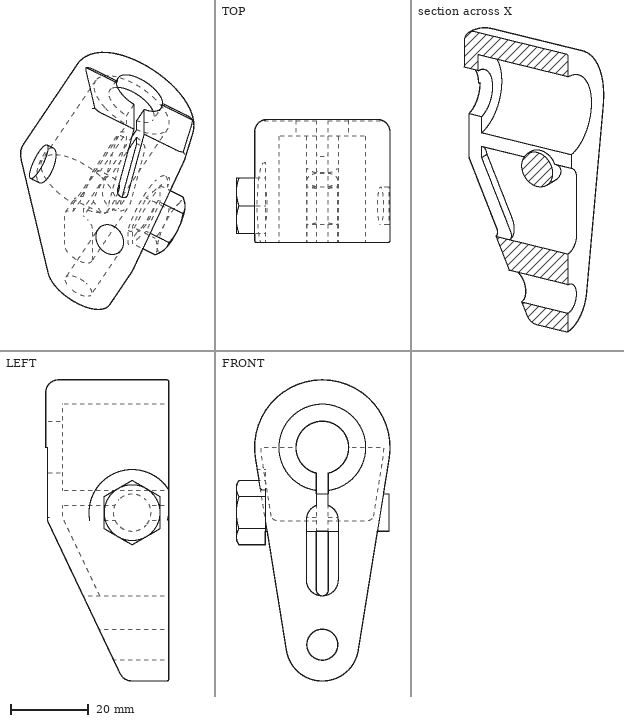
import cadquery as cq
import math

head_radius = 17.5
tip_radius = 9.4
total_height = 77.65
tip_z = head_radius + tip_radius - total_height
head_depth = 31.75
back_relief = 0.5
back_round = 3.35
front_round = 0.55

arm_depth = head_depth - back_relief
slope_start_z = -18.9
slope_angle = 25.4

bore_radius = 11.2
back_hole_radius = 6.75
tip_hole_radius = 3.95
slit_width = 3.0
slot_width = 8.2
slot_top_z = -14.6
slot_bottom_z = -38.2
back_wall = 3.9

bolt_y = 9.5
bolt_z = -16.8
bolt_radius = 4.8
bolt_end_x = 17.2
bolt_head_x = -22.1
bolt_head_flats = 14.4
head_bevel_angle = 30
seat_x = -14.7
seat_radius = 11.1

slope_run = math.tan(math.radians(slope_angle))


def front_extrude(sketch):
    """Extrude a sketch drawn on the XZ plane from the front face to the full head depth."""
    return sketch.extrude(-head_depth)


def cylinder_y(radius, z):
    return front_extrude(cq.Workplane("XZ").center(0, z).circle(radius))


def vertical_slot(width, top_z, bottom_z):
    sketch = cq.Workplane("XZ").center(0, (top_z + bottom_z) / 2).slot2D(top_z - bottom_z, width, 90)
    return front_extrude(sketch)


def side_block(back_y, bend_z):
    """Wide block from Y = 0 to back_y whose back leans forward below bend_z."""
    low_z = tip_z - tip_radius
    low_y = back_y - (bend_z - low_z) * slope_run
    outline = [(0, head_radius), (back_y, head_radius), (back_y, bend_z), (low_y, low_z), (0, low_z)]
    return cq.Workplane("YZ").polyline(outline).close().extrude(head_radius, both=True)


def arm_body():
    lean = math.asin((head_radius - tip_radius) / -tip_z)
    head_x, head_z = head_radius * math.cos(lean), -head_radius * math.sin(lean)
    foot_x, foot_z = tip_radius * math.cos(lean), tip_z - tip_radius * math.sin(lean)
    sketch = (
        cq.Workplane("XZ")
        .moveTo(head_x, head_z)
        .threePointArc((0, head_radius), (-head_x, head_z))
        .lineTo(-foot_x, foot_z)
        .threePointArc((0, tip_z - tip_radius), (foot_x, foot_z))
        .close()
    )
    full_bend_z = slope_start_z + back_relief / slope_run
    body = front_extrude(sketch).intersect(side_block(head_depth, full_bend_z))
    slope_direction = cq.selectors.DirectionMinMaxSelector(cq.Vector(0, 1, -slope_run), True)
    slope_face = body.faces(slope_direction)
    body = body.faces(">Y").add(slope_face).edges("not |X").fillet(back_round)
    body = body.faces("<Y").edges().fillet(front_round)
    relief = cq.Workplane("XY").box(2 * head_radius, back_relief, total_height, centered=(True, False, False))
    return body.cut(relief.translate((0, arm_depth, -total_height)))


def openings():
    bend_shift = back_wall * math.tan(math.radians(slope_angle / 2))
    room = side_block(arm_depth - back_wall, slope_start_z + bend_shift)
    wide_slot = vertical_slot(slot_width, slot_top_z, slot_bottom_z)
    blind = cylinder_y(bore_radius, 0).union(wide_slot).intersect(room)
    through = (
        cylinder_y(back_hole_radius, 0)
        .union(vertical_slot(slit_width, 0, slot_bottom_z))
        .union(cylinder_y(tip_hole_radius, tip_z))
    )
    return blind.union(through)


def bolt_plane(x):
    return cq.Workplane("YZ", origin=(x, bolt_y, bolt_z))


def bolt_seat():
    return bolt_plane(seat_x).circle(seat_radius).extrude(-head_radius)


def bolt():
    corner_radius = bolt_head_flats / 2 / math.cos(math.pi / 6)
    bevel_width = corner_radius - bolt_head_flats / 2
    bevel_height = bevel_width * math.tan(math.radians(head_bevel_angle))
    head_height = seat_x - bolt_head_x
    hexagon = bolt_plane(bolt_head_x).transformed(rotate=(0, 0, 90)).polygon(6, 2 * corner_radius)
    head = hexagon.extrude(head_height)
    blank = bolt_plane(bolt_head_x).circle(corner_radius).extrude(head_height)
    blank = blank.faces("<X").chamfer(bevel_height, bevel_width)
    shank = bolt_plane(seat_x).circle(bolt_radius).extrude(bolt_end_x - seat_x)
    return head.intersect(blank).union(shank)


result = arm_body().cut(openings()).cut(bolt_seat()).union(bolt())